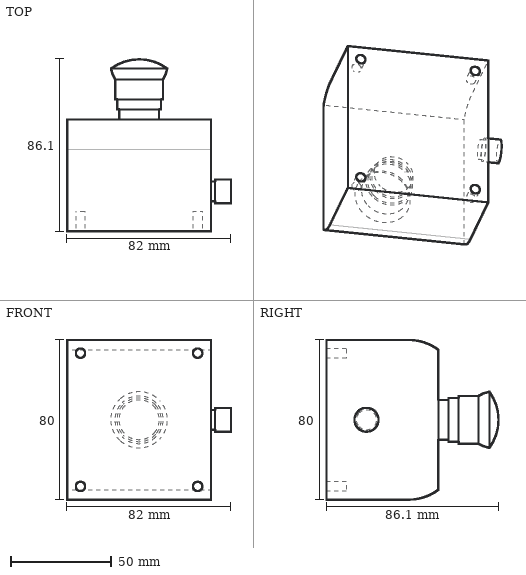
import cadquery as cq
import math

BODY_WIDTH = 72.0
BODY_DEPTH = 56.0
BODY_HEIGHT = 80.0
EDGE_RADIUS = 25.0
EDGE_DROP = 5.0

HOLE_DIAMETER = 4.7
HOLE_INSET = 6.7
HOLE_DEPTH = 10.0

BUTTON_STEPS = [(20.0, 5.0), (22.0, 5.0), (24.0, 10.0)]
RIM_DIAMETER = 28.2
FLARE_LENGTH = 5.4
FLARE_SAG = 0.3
BUTTON_LENGTH = 30.08

KNOB_STEPS = [(10.0, 2.0), (12.0, 8.0)]
KNOB_Y = 20.0

MID_X = BODY_WIDTH / 2
MID_Z = BODY_HEIGHT / 2


def make_body():
    """Extrude the Y-Z outline of the enclosure along X."""
    edge_run = math.sqrt(EDGE_RADIUS**2 - (EDGE_RADIUS - EDGE_DROP) ** 2)
    arc_start_y = BODY_DEPTH - edge_run
    half_angle = math.asin(edge_run / EDGE_RADIUS) / 2
    arc_mid_y = arc_start_y + EDGE_RADIUS * math.sin(half_angle)
    arc_mid_drop = EDGE_RADIUS * (1 - math.cos(half_angle))
    return (
        cq.Workplane("YZ")
        .moveTo(0, 0)
        .lineTo(arc_start_y, 0)
        .threePointArc((arc_mid_y, arc_mid_drop), (BODY_DEPTH, EDGE_DROP))
        .lineTo(BODY_DEPTH, BODY_HEIGHT - EDGE_DROP)
        .threePointArc((arc_mid_y, BODY_HEIGHT - arc_mid_drop), (arc_start_y, BODY_HEIGHT))
        .lineTo(0, BODY_HEIGHT)
        .close()
        .extrude(BODY_WIDTH)
    )


def make_mounting_holes():
    """Four cylinders running from the -Y face into the body."""
    pitch_x = BODY_WIDTH - 2 * HOLE_INSET
    pitch_z = BODY_HEIGHT - 2 * HOLE_INSET
    return (
        cq.Workplane("XZ", origin=(MID_X, 0, MID_Z))
        .rect(pitch_x, pitch_z, forConstruction=True)
        .vertices()
        .circle(HOLE_DIAMETER / 2)
        .extrude(-HOLE_DEPTH)
    )


def make_button():
    """Revolve the half profile of the button about its Y axis."""
    profile = cq.Workplane("XY", origin=(MID_X, BODY_DEPTH, MID_Z)).moveTo(0, 0)
    reach = 0.0
    for diameter, length in BUTTON_STEPS:
        radius = diameter / 2
        profile = profile.lineTo(radius, reach)
        reach += length
        profile = profile.lineTo(radius, reach)

    rim_radius = RIM_DIAMETER / 2
    rim_reach = reach + FLARE_LENGTH
    dome_rise = BUTTON_LENGTH - rim_reach
    dome_radius = (rim_radius**2 + dome_rise**2) / (2 * dome_rise)
    dome_half_angle = math.asin(rim_radius / dome_radius) / 2
    dome_mid = (
        dome_radius * math.sin(dome_half_angle),
        BUTTON_LENGTH - dome_radius * (1 - math.cos(dome_half_angle)),
    )
    return (
        profile.sagittaArc((rim_radius, rim_reach), -FLARE_SAG)
        .threePointArc(dome_mid, (0, BUTTON_LENGTH))
        .close()
        .revolve(360, (0, 0, 0), (0, 1, 0))
    )


def make_knob():
    """Stack the knob's cylinders along X."""
    knob = cq.Workplane("YZ")
    reach = BODY_WIDTH
    for diameter, length in KNOB_STEPS:
        step = (
            cq.Workplane("YZ", origin=(reach, KNOB_Y, MID_Z))
            .circle(diameter / 2)
            .extrude(length)
        )
        knob = knob.add(step)
        reach += length
    return knob.combine()


result = make_body().cut(make_mounting_holes()).union(make_button()).union(make_knob())